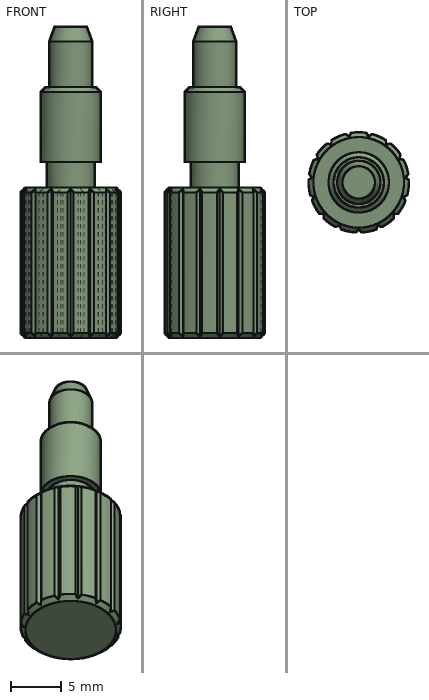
import cadquery as cq
import math

knob_diameter = 10.0
knob_height = 15.0
edge_chamfer = 0.5
groove_count = 15
groove_depth = 0.3
groove_flank_angle = 45
first_groove_angle = -90

neck_diameter = 4.8
neck_height = 2.5
collar_diameter = 6.0
collar_height = 7.47
pin_diameter = 4.3
total_height = 31.0
tip_taper_height = 1.5
tip_taper_angle = 20

collar_base = knob_height + neck_height
collar_top = collar_base + collar_height
knob_radius = knob_diameter / 2


def cylinder(diameter, bottom, top):
    """Cylinder on the Z axis between two heights."""
    return cq.Workplane("XY").workplane(offset=bottom).circle(diameter / 2).extrude(top - bottom)


def groove_cutter(angle):
    """V-shaped prism along the knob, with its root inside the knob surface."""
    root_radius = knob_radius - groove_depth
    cutter_depth = 2 * groove_depth
    half_width = cutter_depth * math.tan(math.radians(groove_flank_angle))
    outer_radius = root_radius + cutter_depth
    return (
        cq.Workplane("XY")
        .polyline([(root_radius, 0), (outer_radius, -half_width), (outer_radius, half_width)])
        .close()
        .extrude(knob_height)
        .rotate((0, 0, 0), (0, 0, 1), angle)
    )


def make_knob():
    knob = cylinder(knob_diameter, 0, knob_height).faces("<Z or >Z").edges().chamfer(edge_chamfer)
    for index in range(groove_count):
        knob = knob.cut(groove_cutter(first_groove_angle + index * 360 / groove_count))
    return knob


def make_pin():
    """Locating pin with a conical lead-in at its tip."""
    tip_radius = pin_diameter / 2 - tip_taper_height * math.tan(math.radians(tip_taper_angle))
    taper_base = total_height - tip_taper_height
    return (
        cq.Workplane("XZ")
        .moveTo(0, collar_top)
        .lineTo(pin_diameter / 2, collar_top)
        .lineTo(pin_diameter / 2, taper_base)
        .lineTo(tip_radius, total_height)
        .lineTo(0, total_height)
        .close()
        .revolve(360, (0, 0, 0), (0, 1, 0))
    )


neck = cylinder(neck_diameter, knob_height, collar_base)
collar = cylinder(collar_diameter, collar_base, collar_top).faces(">Z").edges().chamfer(edge_chamfer)

result = make_knob().union(neck).union(collar).union(make_pin())